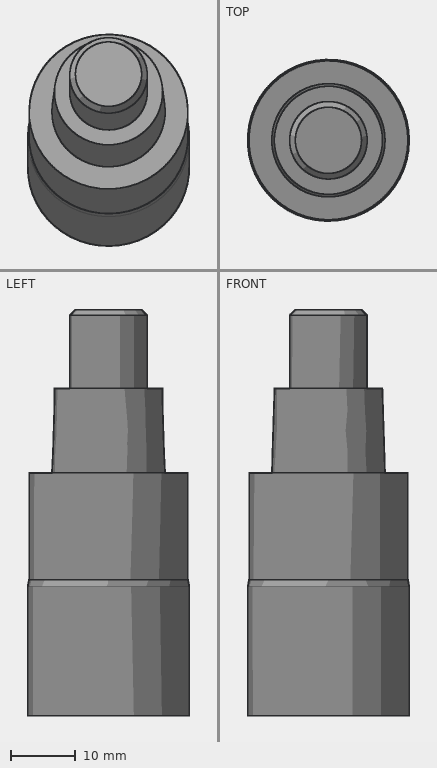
import cadquery as cq

TOTAL_HEIGHT = 62.75

BASE_DIAMETER = 25.0
BASE_HEIGHT = 21.0
RIM_HEIGHT = 1.0
RIM_INSET = 0.2

BODY_DIAMETER = 24.55
SHOULDER_Z = 37.5
NECK_LOWER_DIAMETER = 17.5
NECK_UPPER_DIAMETER = 16.7
NECK_TOP_Z = 50.6
TIP_DIAMETER = 12.0
TIP_CHAMFER = 0.9


def revolve_profile(points):
    """Revolve a closed (radius, height) outline about the Z axis."""
    return cq.Workplane("XZ").polyline(points).close().revolve(360, (0, 0), (0, 1))


def make_base():
    radius = BASE_DIAMETER / 2
    return revolve_profile([
        (0, 0),
        (radius, 0),
        (radius, BASE_HEIGHT - RIM_HEIGHT),
        (radius - RIM_INSET, BASE_HEIGHT),
        (0, BASE_HEIGHT),
    ])


def make_plunger():
    body_radius = BODY_DIAMETER / 2
    tip_radius = TIP_DIAMETER / 2
    return revolve_profile([
        (0, BASE_HEIGHT),
        (body_radius, BASE_HEIGHT),
        (body_radius, SHOULDER_Z),
        (NECK_LOWER_DIAMETER / 2, SHOULDER_Z),
        (NECK_UPPER_DIAMETER / 2, NECK_TOP_Z),
        (tip_radius, NECK_TOP_Z),
        (tip_radius, TOTAL_HEIGHT - TIP_CHAMFER),
        (tip_radius - TIP_CHAMFER, TOTAL_HEIGHT),
        (0, TOTAL_HEIGHT),
    ])


base = make_base()
plunger = make_plunger()
result = cq.Compound.makeCompound([base.val(), plunger.val()])